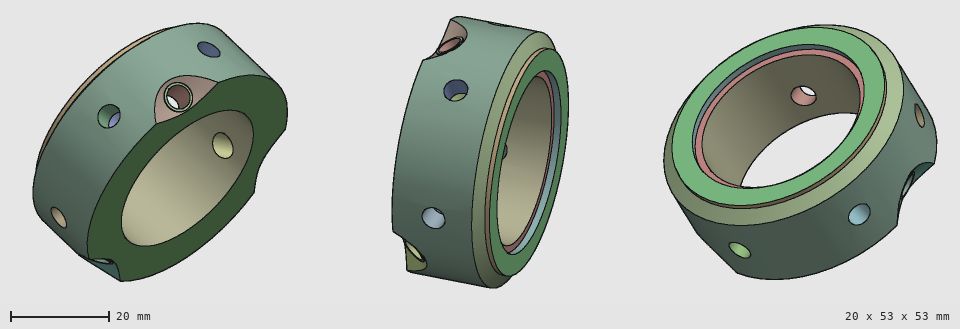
import cadquery as cq
import math

width = 20.0
outer_diameter = 53.0
bore_diameter = 35.0
front_x = -width / 2
back_x = width / 2

face_diameter = 47.0
face_height = 1.0
shoulder_end = 2.75
recess_diameter = 38.0
recess_depth = 1.5

spanner_count = 6
spanner_diameter = 4.95
spanner_x = 1.0
spanner_depth = 5.85
drill_half_angle = 59.0

screw_count = 3
screw_tilt = 30.0
seat_x = 7.2
seat_radius = 24.5
seat_diameter = 6.1
screw_diameter = 5.0
seat_lip = 0.3
relief_half_angle = 67.0
relief_height = 6.35
screw_length = 13.25


def make_ring():
    face_radius = face_diameter / 2
    outer_radius = outer_diameter / 2
    profile = [
        (front_x, 0),
        (front_x, face_radius),
        (front_x + face_height, face_radius),
        (front_x + shoulder_end, outer_radius),
        (back_x, outer_radius),
        (back_x, 0),
    ]
    body = cq.Workplane("XY").polyline(profile).close().revolve(360, (0, 0, 0), (1, 0, 0))
    front = cq.Workplane("YZ", origin=(front_x, 0, 0))
    bore = front.circle(bore_diameter / 2).extrude(width)
    recess = front.circle(recess_diameter / 2).extrude(recess_depth)
    return body.cut(bore).cut(recess)


def revolved_cutter(profile):
    """Turn a (radius, height) outline about the Z axis."""
    return cq.Workplane("XZ").polyline(profile).close().revolve(360, (0, 0, 0), (0, 1, 0))


def make_spanner_hole():
    """Hole at the top of the ring, pointing inwards to a drill-point bottom."""
    radius = spanner_diameter / 2
    point_height = radius / math.tan(math.radians(drill_half_angle))
    mouth = outer_diameter / 2 + 0.55
    bottom = outer_diameter / 2 - spanner_depth
    profile = [(0, mouth), (radius, mouth), (radius, bottom), (0, bottom - point_height)]
    return revolved_cutter(profile).translate((spanner_x, 0, 0))


def make_screw_hole():
    """Screw hole at the top of the ring, leaning towards the back face."""
    hole_radius = screw_diameter / 2
    relief_base = seat_diameter / 2
    relief_top = relief_base + relief_height * math.tan(math.radians(relief_half_angle))
    profile = [
        (0, -screw_length),
        (hole_radius, -screw_length),
        (hole_radius, 0),
        (relief_base, 0),
        (relief_base, -seat_lip),
        (relief_top, relief_height - seat_lip),
        (0, relief_height - seat_lip),
    ]
    cutter = revolved_cutter(profile).rotate((0, 0, 0), (0, 1, 0), screw_tilt)
    return cutter.translate((seat_x, 0, seat_radius))


def cut_around(body, cutter, count, start_angle):
    """Cut equally spaced copies of a cutter, turned about the ring axis."""
    for index in range(count):
        angle = start_angle + index * 360 / count
        body = body.cut(cutter.rotate((0, 0, 0), (1, 0, 0), angle))
    return body


result = make_ring()
result = cut_around(result, make_spanner_hole(), spanner_count, 30)
result = cut_around(result, make_screw_hole(), screw_count, 0)